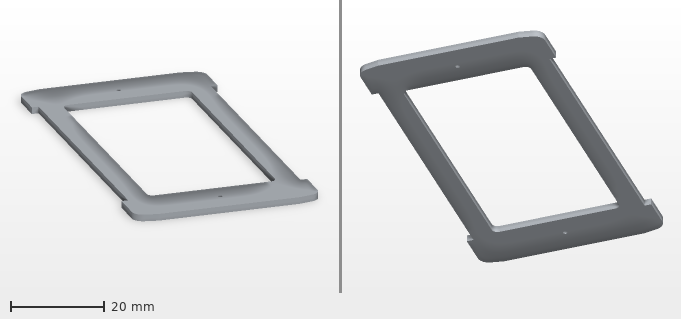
import cadquery as cq
import math

length = 80.0
width = 42.0
thickness = 1.5

tab_length = 10.0
recess_depth = 1.5

corner_length = 3.0
taper_width = 5.0
corner_radius = 2.5

window_length = 57.9
window_width = 29.0
window_radius = 1.3

hole_diameter = 1.0
hole_edge_distance = 6.0


def plate():
    """Plate with tapered, rounded ends."""
    half_length = length / 2
    half_width = width / 2
    center_x = half_length - corner_length
    center_y = half_width - corner_radius
    flank_y = half_width - taper_width

    reach_x = corner_length
    reach_y = center_y - flank_y
    reach = math.hypot(reach_x, reach_y)
    tangent_angle = math.acos(corner_radius / reach) - math.atan2(reach_y, reach_x)
    middle_angle = (tangent_angle + math.pi / 2) / 2

    def on_round(angle):
        return (
            center_x + corner_radius * math.cos(angle),
            center_y + corner_radius * math.sin(angle),
        )

    quarter = (
        cq.Workplane("XY")
        .lineTo(half_length, 0)
        .lineTo(half_length, flank_y)
        .lineTo(*on_round(tangent_angle))
        .threePointArc(on_round(middle_angle), (center_x, half_width))
        .lineTo(0, half_width)
        .close()
        .extrude(thickness)
    )
    half = quarter.union(quarter.mirror("YZ"))
    return half.union(half.mirror("XZ")).clean()


def edge_recesses():
    recess_length = length - 2 * tab_length
    return (
        cq.Workplane("XY")
        .pushPoints([(0, width / 2), (0, -width / 2)])
        .rect(recess_length, 2 * recess_depth)
        .extrude(thickness)
    )


def window():
    return (
        cq.Workplane("XY")
        .rect(window_length, window_width)
        .extrude(thickness)
        .edges("|Z")
        .fillet(window_radius)
    )


def pin_holes():
    hole_x = length / 2 - hole_edge_distance
    return (
        cq.Workplane("XY")
        .pushPoints([(-hole_x, 0), (hole_x, 0)])
        .circle(hole_diameter / 2)
        .extrude(thickness)
    )


result = plate().cut(edge_recesses()).cut(window()).cut(pin_holes())